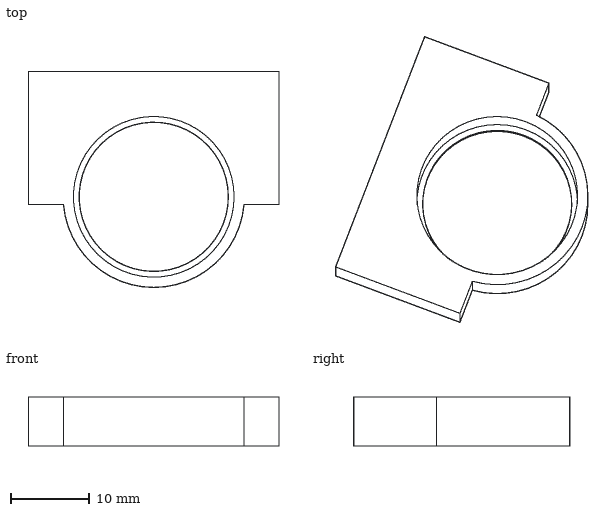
import cadquery as cq

width = 32.0
height = 6.3
axis_to_back = 16.0
axis_to_front = 1.0

ring_radius = 11.6
bore_diameter = 20.5
lip_diameter = 19.0
lip_thickness = 0.75


def block():
    depth = axis_to_back + axis_to_front
    return (
        cq.Workplane("XY")
        .box(width, depth, height, centered=(True, False, False))
        .translate((0, -axis_to_front, 0))
    )


def cylinder(diameter, bottom, top):
    return cq.Workplane("XY").workplane(offset=bottom).circle(diameter / 2).extrude(top - bottom)


body = block().union(cylinder(2 * ring_radius, 0, height))

lip_opening = cylinder(lip_diameter, 0, height)
bore = cylinder(bore_diameter, lip_thickness, height)
result = body.cut(lip_opening).cut(bore)